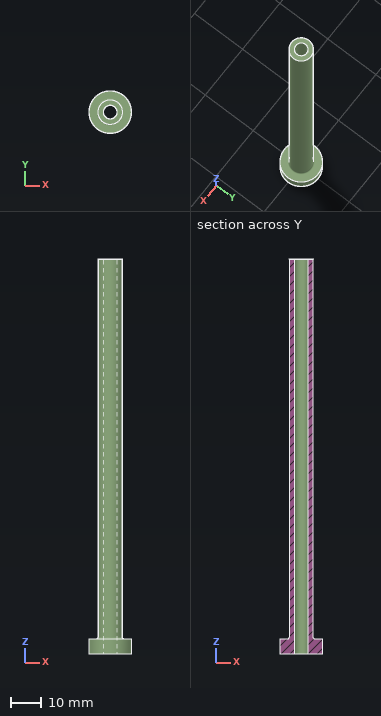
import cadquery as cq

total_length = 130.0
head_diameter = 14.0
head_thickness = 5.1
shaft_diameter = 8.0
bore_diameter = 4.4
neck_fillet = 0.5


def cylinder(diameter, length):
    """Cylinder on the Z axis, rising from the underside of the head."""
    return cq.Workplane("XY").circle(diameter / 2).extrude(length)


head = cylinder(head_diameter, head_thickness)
shaft = cylinder(shaft_diameter, total_length)
body = head.union(shaft)

smallest_radius = cq.selectors.RadiusNthSelector(0)
body = body.faces("<Z[-2]").edges(smallest_radius).fillet(neck_fillet)

bore = cylinder(bore_diameter, total_length)
result = body.cut(bore)